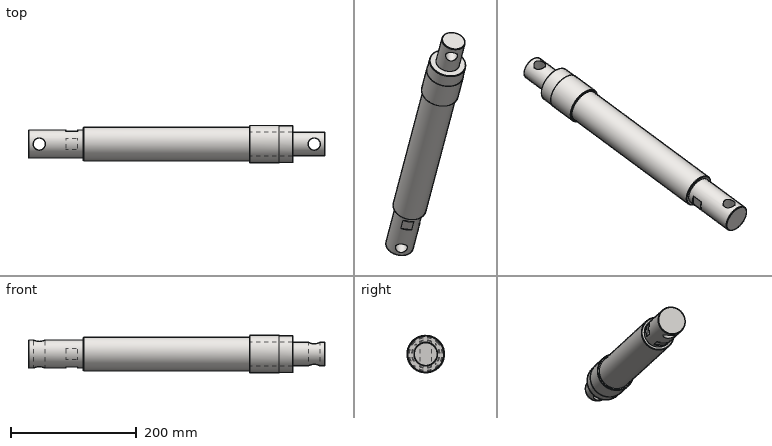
import cadquery as cq

total_length = 473.0

barrel_start = 87.5
collar_start = 352.5
collar_end = 399.0
nose_end = 422.0

shank_diameter = 45.0
barrel_diameter = 54.0
collar_diameter = 60.0
nose_diameter = 59.0
rod_diameter = 38.0

chamfer = 1.0

pin_hole_diameter = 19.0
shank_pin_x = 17.5
rod_pin_x = total_length - 17.5

flat_length = 18.5
flat_depth = 1.8
flat_x = 69.3
flat_turns = (0, -90)

rod_start = collar_start


def cylinder_along_x(start, end, diameter):
    return cq.Workplane("YZ", origin=(start, 0, 0)).circle(diameter / 2).extrude(end - start)


def pin_hole(x):
    """Vertical cutter that passes right through the part at x."""
    return (
        cq.Workplane("XY", origin=(x, 0, 0))
        .circle(pin_hole_diameter / 2)
        .extrude(collar_diameter / 2, both=True)
    )


def flat_cutter(turn):
    """Block wider than the shank, standing on the flat, turned about X from facing +Y."""
    flat_height = shank_diameter / 2 - flat_depth
    block = cq.Workplane("XY", origin=(flat_x, flat_height, 0)).box(
        flat_length, shank_diameter, shank_diameter, centered=(True, False, True)
    )
    return block.rotate((0, 0, 0), (1, 0, 0), turn)


def make_housing():
    shank = cylinder_along_x(0, barrel_start, shank_diameter)
    shank = shank.faces("<X").chamfer(chamfer)
    barrel = cylinder_along_x(barrel_start, collar_start, barrel_diameter)
    barrel = barrel.faces("<X").chamfer(chamfer)
    collar = cylinder_along_x(collar_start, collar_end, collar_diameter)
    collar = collar.faces("<X").chamfer(chamfer)
    nose = cylinder_along_x(collar_end, nose_end, nose_diameter)
    nose = nose.faces(">X").chamfer(chamfer)
    body = shank.union(barrel).union(collar).union(nose)

    body = body.cut(pin_hole(shank_pin_x))
    for turn in flat_turns:
        body = body.cut(flat_cutter(turn))

    rod_bore = cylinder_along_x(rod_start, nose_end, rod_diameter)
    return body.cut(rod_bore)


def make_rod():
    rod = cylinder_along_x(rod_start, total_length, rod_diameter)
    rod = rod.faces(">X").chamfer(chamfer)
    return rod.cut(pin_hole(rod_pin_x))


housing = make_housing()
rod = make_rod()

result = cq.Compound.makeCompound([housing.val(), rod.val()])